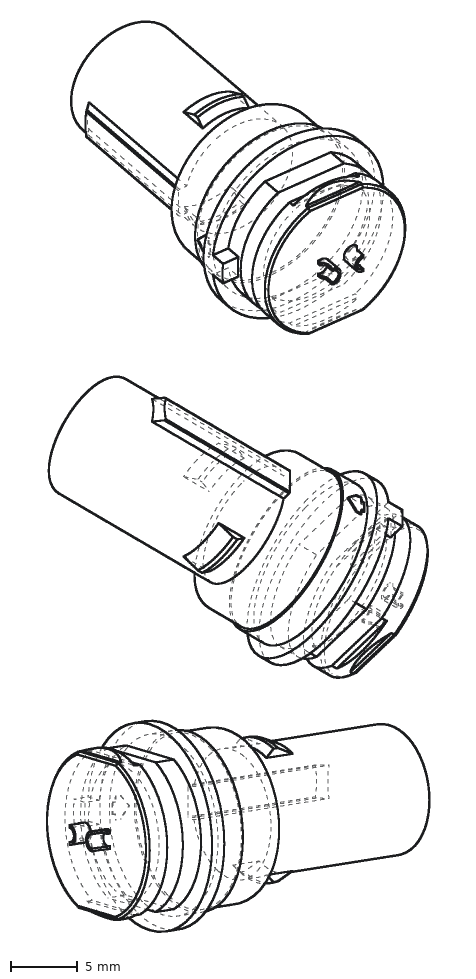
import cadquery as cq
import math


SHELL_START = 15.0
BAND_START = 19.0
FLANGE_START = 21.32
FLANGE_EDGE_START = 21.45
FLANGE_END = 22.6
GROOVE_START = 24.27
GROOVE_END = 25.72
REAR_FACE = 27.55
CONTACT_END = 29.0

PLUG_DIAMETER = 9.95
PLUG_RADIUS = PLUG_DIAMETER / 2
SHELL_RADIUS = 6.7
BAND_RADIUS = 6.9
FLANGE_DIAMETER = 15.8
FLANGE_RADIUS = FLANGE_DIAMETER / 2
COLLAR_RADIUS = 6.5
GROOVE_RADIUS = 5.28

PLUG_NOSE_FILLET = 0.58
SHELL_FILLET = 1.02
GROOVE_FILLET = 0.3
REAR_CHAMFER = 0.2

COLLAR_FLAT_HEIGHT = 5.75
COLLAR_FLAT_END = 26.2
REAR_FLAT_HEIGHT = 6.0
REAR_FLAT_RAMP_START = 26.42
REAR_FLAT_RAMP_END = 27.05

RIB_WIDTH = 2.55
RIB_HEIGHT = 5.57
RIB_START = 2.46
RIB_EDGE_CHAMFER = 0.1

LATCH_WIDTH = 4.25
LATCH_RADIUS = 5.55
LATCH_START = 10.9
LATCH_CREST_START = 12.27
LATCH_CREST_END = 12.67
LATCH_END = 13.35

KEY_WIDTH = 1.85
KEY_END = 23.9

ARROW_RELIEF = 0.1
ARROW_TIP = 19.43
ARROW_SHOULDER = 20.27
ARROW_HEAD_END = 20.74
ARROW_TAIL_END = 21.0
ARROW_HALF_WIDTH = 0.9
ARROW_TAIL_HALF_WIDTH = 0.45

CONTACT_OFFSET = 1.42
CONTACT_RADIUS = 0.75
CUP_BORE_RADIUS = 0.55
CUP_ROOT_RISE = 0.3
CUP_ROOT_LENGTH = 0.25
CUP_RAMP_END = 0.65


def revolve_about_x(profile):
    """Turn a closed profile, drawn with x along the axis and y as radius, about the X axis."""
    return profile.close().revolve(360, (0, 0, 0), (1, 0, 0))


def cylinder_along_x(radius, start, end):
    return cq.Workplane("YZ", origin=(start, 0, 0)).circle(radius).extrude(end - start)


def turned_body():
    """Plug, shell, marking band, conical-faced flange and grooved rear collar as one turned shape."""
    arc_mid_ratio = 1 - math.sqrt(0.5)
    nose_mid = PLUG_NOSE_FILLET * arc_mid_ratio
    shell_mid = SHELL_FILLET * arc_mid_ratio
    cove_mid = GROOVE_FILLET * arc_mid_ratio
    profile = (
        cq.Workplane("XY")
        .lineTo(0, PLUG_RADIUS - PLUG_NOSE_FILLET)
        .threePointArc((nose_mid, PLUG_RADIUS - nose_mid), (PLUG_NOSE_FILLET, PLUG_RADIUS))
        .lineTo(SHELL_START, PLUG_RADIUS)
        .lineTo(SHELL_START, SHELL_RADIUS - SHELL_FILLET)
        .threePointArc(
            (SHELL_START + shell_mid, SHELL_RADIUS - shell_mid),
            (SHELL_START + SHELL_FILLET, SHELL_RADIUS),
        )
        .lineTo(BAND_START, SHELL_RADIUS)
        .lineTo(BAND_START, BAND_RADIUS)
        .lineTo(FLANGE_START, BAND_RADIUS)
        .lineTo(FLANGE_EDGE_START, FLANGE_RADIUS)
        .lineTo(FLANGE_END, FLANGE_RADIUS)
        .lineTo(FLANGE_END, COLLAR_RADIUS)
        .lineTo(GROOVE_START, COLLAR_RADIUS)
        .lineTo(GROOVE_START, GROOVE_RADIUS + GROOVE_FILLET)
        .threePointArc(
            (GROOVE_START + cove_mid, GROOVE_RADIUS + cove_mid),
            (GROOVE_START + GROOVE_FILLET, GROOVE_RADIUS),
        )
        .lineTo(GROOVE_END - GROOVE_FILLET, GROOVE_RADIUS)
        .threePointArc(
            (GROOVE_END - cove_mid, GROOVE_RADIUS + cove_mid),
            (GROOVE_END, GROOVE_RADIUS + GROOVE_FILLET),
        )
        .lineTo(GROOVE_END, COLLAR_RADIUS)
        .lineTo(REAR_FACE - REAR_CHAMFER, COLLAR_RADIUS)
        .lineTo(REAR_FACE, COLLAR_RADIUS - REAR_CHAMFER)
        .lineTo(REAR_FACE, 0)
    )
    return revolve_about_x(profile)


def collar_flat_cutter():
    """Material removed above the top flats of the rear collars, with the rear edge chamfered."""
    clearance = FLANGE_RADIUS
    profile = (
        cq.Workplane("XZ")
        .moveTo(FLANGE_END, COLLAR_FLAT_HEIGHT)
        .lineTo(COLLAR_FLAT_END, COLLAR_FLAT_HEIGHT)
        .lineTo(COLLAR_FLAT_END, COLLAR_RADIUS)
        .lineTo(REAR_FLAT_RAMP_START, COLLAR_RADIUS)
        .lineTo(REAR_FLAT_RAMP_END, REAR_FLAT_HEIGHT)
        .lineTo(REAR_FACE - REAR_CHAMFER, REAR_FLAT_HEIGHT)
        .lineTo(REAR_FACE, REAR_FLAT_HEIGHT - REAR_CHAMFER)
        .lineTo(REAR_FACE, clearance)
        .lineTo(FLANGE_END, clearance)
        .close()
    )
    return profile.extrude(clearance, both=True)


def plug_rib():
    """Flat-topped rib on the plug, its front end trimmed by a 45 degree cone about the axis."""
    length = SHELL_START - RIB_START
    rib = (
        cq.Workplane("XY")
        .box(length, RIB_HEIGHT, RIB_WIDTH, centered=(False, False, True))
        .translate((RIB_START, -RIB_HEIGHT, 0))
        .edges("|X and <Y")
        .chamfer(RIB_EDGE_CHAMFER)
    )
    cone_end_radius = PLUG_RADIUS + length
    cone = revolve_about_x(
        cq.Workplane("XY")
        .moveTo(RIB_START, 0)
        .lineTo(RIB_START, PLUG_RADIUS)
        .lineTo(SHELL_START, cone_end_radius)
        .lineTo(SHELL_START, 0)
    )
    return rib.intersect(cone)


def latch_bumps():
    """Arched ridge cut to the latch width, which leaves one bump on the top and one on the bottom."""
    ridge = revolve_about_x(
        cq.Workplane("XY")
        .moveTo(LATCH_START, 0)
        .lineTo(LATCH_START, PLUG_RADIUS)
        .lineTo(LATCH_CREST_START, LATCH_RADIUS)
        .lineTo(LATCH_CREST_END, LATCH_RADIUS)
        .lineTo(LATCH_END, PLUG_RADIUS)
        .lineTo(LATCH_END, 0)
    )
    width_limit = (
        cq.Workplane("XY")
        .box(LATCH_END - LATCH_START, LATCH_WIDTH, 2 * LATCH_RADIUS, centered=(False, True, True))
        .translate((LATCH_START, 0, 0))
    )
    return ridge.intersect(width_limit)


def flange_key():
    """Key that continues the flange rim backwards on the -Y side."""
    rim = cylinder_along_x(FLANGE_RADIUS, FLANGE_END, KEY_END)
    width_limit = (
        cq.Workplane("XY")
        .box(KEY_END - FLANGE_END, FLANGE_RADIUS, KEY_WIDTH, centered=(False, False, True))
        .translate((FLANGE_END, -FLANGE_RADIUS, 0))
    )
    return rim.intersect(width_limit)


def arrow_mark():
    """Raised arrow that points to the plug end and follows the curve of the band."""
    outline = (
        cq.Workplane("XZ")
        .moveTo(ARROW_TIP, 0)
        .lineTo(ARROW_SHOULDER, ARROW_HALF_WIDTH)
        .lineTo(ARROW_HEAD_END, ARROW_HALF_WIDTH)
        .lineTo(ARROW_HEAD_END, ARROW_TAIL_HALF_WIDTH)
        .lineTo(ARROW_TAIL_END, ARROW_TAIL_HALF_WIDTH)
        .lineTo(ARROW_TAIL_END, -ARROW_TAIL_HALF_WIDTH)
        .lineTo(ARROW_HEAD_END, -ARROW_TAIL_HALF_WIDTH)
        .lineTo(ARROW_HEAD_END, -ARROW_HALF_WIDTH)
        .lineTo(ARROW_SHOULDER, -ARROW_HALF_WIDTH)
        .close()
        .extrude(FLANGE_RADIUS)
    )
    raised_skin = cylinder_along_x(BAND_RADIUS + ARROW_RELIEF, BAND_START, FLANGE_START)
    return outline.intersect(raised_skin)


def make_housing():
    housing = turned_body()
    top_cutter = collar_flat_cutter()
    bottom_cutter = top_cutter.mirror("XY")
    housing = housing.cut(top_cutter).cut(bottom_cutter)
    for feature in (plug_rib(), latch_bumps(), flange_key(), arrow_mark()):
        housing = housing.union(feature)
    return housing


def make_contact(side):
    """Solder cup on the rear face, at +Y (side = 1) or -Y (side = -1), open away from the axis."""
    cup = (
        cq.Workplane("YZ", origin=(REAR_FACE, 0, 0))
        .center(side * CONTACT_OFFSET, 0)
        .circle(CONTACT_RADIUS)
        .circle(CUP_BORE_RADIUS)
        .extrude(CONTACT_END - REAR_FACE)
    )
    outside = CONTACT_OFFSET + CONTACT_RADIUS
    opening = (
        cq.Workplane("XY")
        .moveTo(REAR_FACE, side * outside)
        .lineTo(REAR_FACE, side * (CONTACT_OFFSET + CUP_ROOT_RISE))
        .lineTo(REAR_FACE + CUP_ROOT_LENGTH, side * (CONTACT_OFFSET + CUP_ROOT_RISE))
        .lineTo(REAR_FACE + CUP_RAMP_END, side * CONTACT_OFFSET)
        .lineTo(CONTACT_END, side * CONTACT_OFFSET)
        .lineTo(CONTACT_END, side * outside)
        .close()
        .extrude(CONTACT_RADIUS, both=True)
    )
    return cup.cut(opening)


housing = make_housing()
contacts = [make_contact(side) for side in (1, -1)]

result = cq.Compound.makeCompound([housing.val(), *[contact.val() for contact in contacts]])